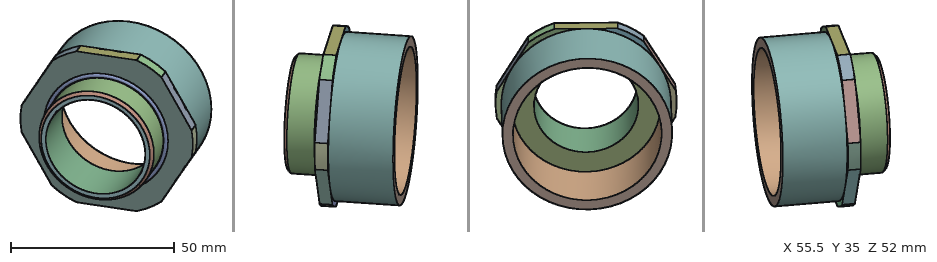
import cadquery as cq
import math

corner_diameter = 55.5
across_flats = 52.0
body_diameter = across_flats
neck_diameter = 37.0
bore_diameter = 32.0
ring_diameter = 40.0
ring_width = 1.4
socket_diameter = 45.5

body_length = 20.0
flange_thickness = 4.0
neck_length = 11.0
neck_chamfer = 1.0
socket_floor_thickness = 5.0

total_length = body_length + flange_thickness + neck_length


def cylinder(diameter, start, length):
    """Cylinder along +Y, beginning at the given Y position."""
    plane = cq.Plane(origin=(0, start, 0), xDir=(1, 0, 0), normal=(0, 1, 0))
    return cq.Workplane(plane).circle(diameter / 2).extrude(length)


def hex_flange():
    """Hexagon with flats at top and bottom and its corners turned round."""
    flange = cylinder(corner_diameter, 0, flange_thickness)
    for angle in (0, 60, 120):
        slab = (
            cq.Workplane("XY")
            .box(2 * corner_diameter, 2 * flange_thickness, across_flats)
            .rotate((0, 0, 0), (0, 1, 0), angle)
        )
        flange = flange.intersect(slab)
    return flange


def chamfered_neck():
    """Spigot with a chamfered free end."""
    neck = cylinder(neck_diameter, -neck_length, neck_length)
    return neck.faces("<Y").edges().chamfer(neck_chamfer)


def sealing_ring():
    """Ring against the flange, with a round profile closed off behind against the flange."""
    round_radius = ring_width / 2
    round_centre = ring_diameter / 2 - round_radius
    diagonal = round_radius * math.sqrt(0.5)
    root_radius = bore_diameter / 2
    return (
        cq.Workplane("XY")
        .moveTo(root_radius, 0)
        .lineTo(round_centre, 0)
        .threePointArc(
            (round_centre + diagonal, -round_radius - diagonal),
            (round_centre - round_radius, -round_radius),
        )
        .lineTo(root_radius, -round_radius)
        .close()
        .revolve(360, (0, 0, 0), (0, 1, 0))
    )


body = cylinder(body_diameter, flange_thickness, body_length)
bore = cylinder(bore_diameter, -neck_length, total_length)
socket = cylinder(socket_diameter, socket_floor_thickness, total_length)

result = body.union(hex_flange()).union(chamfered_neck()).union(sealing_ring()).cut(bore).cut(socket)